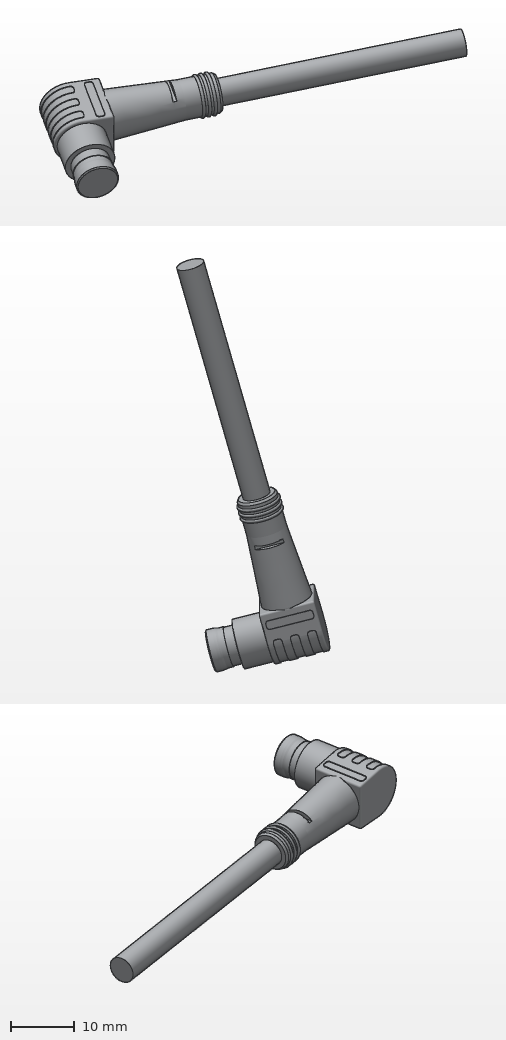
import cadquery as cq
import math


overall_length = 68.0
overall_width = 18.3

housing_radius = 4.5
housing_half_width = 4.5
housing_back = 5.3
flank_tangent_y = 0.35
edge_fillet = 0.35

groove_width = 1.4
groove_pitch = 2.8
groove_count = 3
groove_depth = 0.15
groove_end_y = 0.75
groove_corner_radius = 0.5

recess_length = 7.7
recess_width = 1.4
recess_center_y = 3.3
recess_depth = 0.15
recess_corner_radius = 0.5

barrel_diameter = 8.1
barrel_end = 9.25
neck_diameter = 6.3
neck_end = 10.9
shoulder_diameter = 6.5
shoulder_end = 11.75
head_lip_diameter = 6.7
head_diameter = 6.9
head_lip = 12.1
head_start = 12.6
head_chamfer = 0.2

cable_diameter = 4.4
cone_base_diameter = 8.2
collar_diameter = 6.5
collar_start = 17.5
collar_end = 23.45
collar_chamfer_length = 0.4
collar_chamfer_depth = 0.3
ring_diameter = 7.1
ring_width = 0.55
ring_pitch = 0.95
ring_count = 3
first_ring_y = 20.3
notch_start = 15.5
notch_width = 0.6
notch_floor_z = 2.45

cone_root_y = housing_back - edge_fillet
cable_end = overall_length - housing_radius
plug_end = overall_width - housing_half_width


def housing_blank(inset, half_width):
    """Prism along X: round nose toward -Y, tangent flanks tapering toward the back face."""
    radius = housing_radius - inset
    angle = math.asin(flank_tangent_y / housing_radius)
    tangent_y = radius * math.sin(angle)
    tangent_z = radius * math.cos(angle)
    back_z = tangent_z - (housing_back - tangent_y) * math.tan(angle)
    return (
        cq.Workplane("YZ")
        .moveTo(housing_back, back_z)
        .lineTo(tangent_y, tangent_z)
        .threePointArc((-radius, 0), (tangent_y, -tangent_z))
        .lineTo(housing_back, -back_z)
        .close()
        .extrude(half_width, both=True)
    )


def skin(depth):
    """Outer layer of the housing flanks and nose, of the given thickness."""
    return housing_blank(0, housing_half_width).cut(housing_blank(depth, 2 * housing_half_width))


def rounded_plan(x_size, y_size, x_center, y_center, corner_radius):
    """Vertical prism with rounded corners, taller than the housing."""
    return (
        cq.Workplane("XY")
        .center(x_center, y_center)
        .rect(x_size, y_size)
        .extrude(2 * housing_radius, both=True)
        .edges("|Z")
        .fillet(corner_radius)
    )


def make_housing():
    """Filleted housing with its grip grooves and marking recesses."""
    housing = housing_blank(0, housing_half_width).faces("<X or >X or >Y").edges().fillet(edge_fillet)
    groove_skin = skin(groove_depth)
    groove_length = 2 * housing_radius
    groove_center_y = groove_end_y - groove_length / 2
    for index in range(groove_count):
        x = (index - (groove_count - 1) / 2) * groove_pitch
        plan = rounded_plan(groove_width, groove_length, x, groove_center_y, groove_corner_radius)
        housing = housing.cut(groove_skin.intersect(plan))
    recess = rounded_plan(recess_length, recess_width, 0, recess_center_y, recess_corner_radius)
    return housing.cut(skin(recess_depth).intersect(recess))


def make_plug():
    """Barrel, stepped neck and flared head turned about the X axis."""
    neck_radius = neck_diameter / 2
    head_radius = head_diameter / 2
    return (
        cq.Workplane("XY")
        .moveTo(0, 0)
        .lineTo(0, barrel_diameter / 2)
        .lineTo(barrel_end, barrel_diameter / 2)
        .lineTo(barrel_end, neck_radius)
        .lineTo(neck_end, neck_radius)
        .lineTo(neck_end, shoulder_diameter / 2)
        .lineTo(shoulder_end, shoulder_diameter / 2)
        .lineTo(head_lip, head_lip_diameter / 2)
        .lineTo(head_start, head_radius)
        .lineTo(plug_end - head_chamfer, head_radius)
        .lineTo(plug_end, head_radius - head_chamfer)
        .lineTo(plug_end, 0)
        .close()
        .revolve(360, (0, 0, 0), (1, 0, 0))
    )


def make_cable():
    """Cable with its tapered strain relief and ringed collar, turned about the Y axis."""
    collar_radius = collar_diameter / 2
    profile = (
        cq.Workplane("XY")
        .moveTo(0, cone_root_y)
        .lineTo(cone_base_diameter / 2, cone_root_y)
        .lineTo(cone_base_diameter / 2, housing_back)
        .lineTo(collar_radius, collar_start)
    )
    for index in range(ring_count):
        y = first_ring_y + index * ring_pitch
        profile = profile.lineTo(collar_radius, y - ring_width / 2).threePointArc(
            (ring_diameter / 2, y), (collar_radius, y + ring_width / 2)
        )
    return (
        profile.lineTo(collar_radius, collar_end - collar_chamfer_length)
        .lineTo(collar_radius - collar_chamfer_depth, collar_end)
        .lineTo(cable_diameter / 2, collar_end)
        .lineTo(cable_diameter / 2, cable_end)
        .lineTo(0, cable_end)
        .close()
        .revolve(360, (0, 0, 0), (0, 1, 0))
    )


def cut_notches(cable):
    """Flat-bottomed notches across the top and bottom of the strain relief."""
    notch_height = cone_base_diameter / 2
    notch = cq.Workplane("XY").box(cone_base_diameter, notch_width, notch_height)
    center_y = notch_start + notch_width / 2
    center_z = notch_floor_z + notch_height / 2
    for side in (1, -1):
        cable = cable.cut(notch.translate((0, center_y, side * center_z)))
    return cable


result = make_housing().union(make_plug()).union(cut_notches(make_cable()))